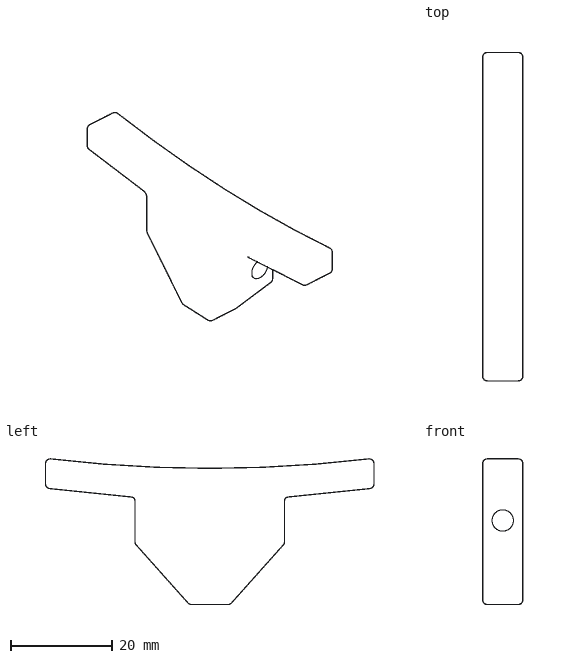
import cadquery as cq
import math

thickness = 8.0
length = 65.0
end_height = 28.85
crown_sag = 1.9
arm_tip_underside = 23.0
arm_root_underside = 21.2
stem_width = 29.65
shoulder_height = 12.1
foot_width = 8.05
edge_radius = 1.0
inner_corner_radius = 0.7
hole_diameter = 4.2
hole_height = 16.65
hole_depth = 6.5
drill_point_angle = 118.0

half_length = length / 2
half_stem = stem_width / 2
half_foot = foot_width / 2

crest_offset = half_length - edge_radius
top_radius = (crest_offset**2 + crown_sag**2) / (2 * crown_sag)
top_middle_height = end_height - crown_sag
top_corner_height = top_middle_height + top_radius - math.sqrt(top_radius**2 - half_length**2)


def make_body():
    """Symmetric T-shaped plate with all outer edges rounded."""
    plate = (
        cq.Workplane("YZ", origin=(-thickness / 2, 0, 0))
        .moveTo(-half_length, top_corner_height)
        .threePointArc((0, top_middle_height), (half_length, top_corner_height))
        .lineTo(half_length, arm_tip_underside)
        .lineTo(half_stem, arm_root_underside)
        .lineTo(half_stem, shoulder_height)
        .lineTo(half_foot, 0)
        .lineTo(-half_foot, 0)
        .lineTo(-half_stem, shoulder_height)
        .lineTo(-half_stem, arm_root_underside)
        .lineTo(-half_length, arm_tip_underside)
        .close()
        .extrude(thickness)
    )
    arm_roots = cq.selectors.BoxSelector(
        (-thickness, -half_stem - edge_radius, shoulder_height + edge_radius),
        (thickness, half_stem + edge_radius, arm_tip_underside),
    )
    outer_corners = cq.selectors.InverseSelector(arm_roots)
    plate = plate.edges("|X").edges(outer_corners).fillet(edge_radius)
    plate = plate.edges("|X").edges(arm_roots).fillet(inner_corner_radius)
    return plate.faces("<X or >X").edges().fillet(edge_radius)


def make_hole(side):
    """Drilled blind hole with a conical end, entering one flank of the stem."""
    hole_radius = hole_diameter / 2
    point_length = hole_radius / math.tan(math.radians(drill_point_angle / 2))
    hole_end = half_stem - hole_depth
    return (
        cq.Workplane("XY", origin=(0, 0, hole_height))
        .moveTo(0, side * half_stem)
        .lineTo(hole_radius, side * half_stem)
        .lineTo(hole_radius, side * hole_end)
        .lineTo(0, side * (hole_end - point_length))
        .close()
        .revolve(360, (0, 0, 0), (0, 1, 0))
    )


result = make_body()
for flank in (-1, 1):
    result = result.cut(make_hole(flank))